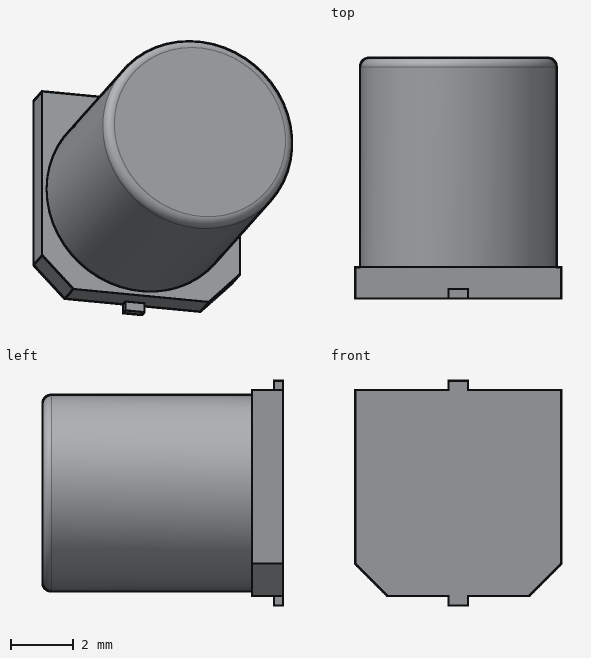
import cadquery as cq

total_length = 7.71
base_width = 6.6
total_height = 7.2

base_thickness = 1.0
corner_cut = 1.04

tab_width = 0.63
tab_thickness = 0.3

can_diameter = 6.31
can_edge_radius = 0.3



def make_base():
    plate = cq.Workplane("XY").box(
        base_width, base_thickness, base_width, centered=(True, False, True)
    )
    return plate.edges("|Y and <Z").chamfer(corner_cut)


def make_can():
    can_length = total_length - base_thickness
    can = (
        cq.Workplane("XZ", origin=(0, base_thickness, 0))
        .circle(can_diameter / 2)
        .extrude(-can_length)
    )
    return can.faces(">Y").edges().fillet(can_edge_radius)


def make_tabs():
    return cq.Workplane("XY").box(
        tab_width, tab_thickness, total_height, centered=(True, False, True)
    )


result = make_base().union(make_can()).union(make_tabs())